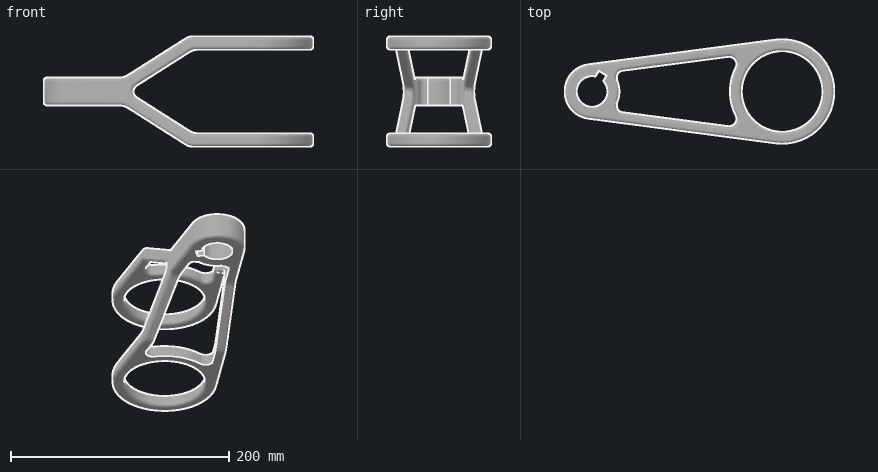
import cadquery as cq
import math

length = 247.5
height = 101.5
ring_radius = 48.0
hub_radius = 25.3
ring_x = length - hub_radius - ring_radius

hub_height = 26.0
arm_thickness = 12.6
arm_angle = math.radians(32.4)
shoulder_x = 48.8
bend_radius = 12.5
crotch_radius = 6.5

ring_bore = 73.8
hub_bore = 28.0
key_width = 8.2
key_reach = 19.3
key_angle = 60.0
strut_width = 10.1
window_start_x = 23.0
hub_corner_radius = 5.2
ring_corner_radius = 6.7

edge_round = 3.5
overshoot = 2.5
pick_margin = 0.2

flank_angle = math.asin((ring_radius - hub_radius) / ring_x)

top_z = height / 2
shoulder_z = hub_height / 2
arm_under_z = top_z - arm_thickness
arm_slope = math.tan(arm_angle)
bend_x = shoulder_x + (top_z - shoulder_z) / arm_slope
under_bend_x = bend_x + arm_thickness * math.tan(arm_angle / 2)
crotch_x = under_bend_x - arm_under_z / arm_slope


def disc(x, radius):
    """Full-height disc with its axis at x."""
    return cq.Workplane("XY").center(x, 0).circle(radius).extrude(height / 2, both=True)


def prism(upper_points):
    """Full-height prism on an outline mirrored about the X axis."""
    outline = upper_points + [(x, -y) for x, y in reversed(upper_points)]
    return cq.Workplane("XY").polyline(outline).close().extrude(height / 2, both=True)


def flank_point(x, radius):
    """Tangent point of the upper flank on a circle centred at x."""
    return (x - radius * math.sin(flank_angle), radius * math.cos(flank_angle))


def inset_flank_y(x, inset):
    """Y of a line parallel to the upper flank, moved inwards by inset."""
    return (hub_radius - inset) / math.cos(flank_angle) + x * math.tan(flank_angle)


def plan_body():
    flanks = prism([flank_point(0, hub_radius), flank_point(ring_x, ring_radius)])
    return flanks.union(disc(0, hub_radius)).union(disc(ring_x, ring_radius))


def window():
    """Opening between the struts, bounded by the hub and ring circles."""
    opening = prism([(x, inset_flank_y(x, strut_width)) for x in (window_start_x, ring_x)])
    opening = opening.cut(disc(0, hub_radius)).cut(disc(ring_x, ring_radius))
    corner_y = inset_flank_y(window_start_x, strut_width) - pick_margin
    middle_x = (window_start_x + ring_x) / 2
    corner_zones = ((0, middle_x, hub_corner_radius), (middle_x, ring_x, ring_corner_radius))
    for low_x, high_x, radius in corner_zones:
        for side in (1, -1):
            corner = cq.selectors.BoxSelector(
                (low_x, side * corner_y, -height), (high_x, side * ring_radius, height)
            )
            opening = opening.edges("|Z").edges(corner).fillet(radius)
    return opening


def fork_profile():
    """Y-shaped side profile with rounded bends, as a slab across the full width."""
    end_x = length
    upper = [
        (-length, shoulder_z),
        (shoulder_x, shoulder_z),
        (bend_x, top_z),
        (end_x, top_z),
        (end_x, arm_under_z),
        (under_bend_x, arm_under_z),
    ]
    outline = upper + [(crotch_x, 0)] + [(x, -z) for x, z in reversed(upper)]
    slab = cq.Workplane("XZ").polyline(outline).close().extrude(ring_radius + overshoot, both=True)
    bends = (
        (crotch_x, crotch_radius),
        (shoulder_x, bend_radius),
        (bend_x, bend_radius),
        (under_bend_x, bend_radius),
    )
    for x, radius in bends:
        bend_zone = cq.selectors.BoxSelector(
            (x - pick_margin, -length, -height), (x + pick_margin, length, height)
        )
        slab = slab.edges("|Y").edges(bend_zone).fillet(radius)
    return slab


def is_window_underside(edge):
    """True for the window edges on the underside of the hub and the lower arm."""
    center = edge.Center()
    if not 0 < center.x < ring_x - ring_bore / 2:
        return False
    sloping_z = shoulder_z + (center.x - shoulder_x) * arm_slope
    outer_z = min(max(shoulder_z, sloping_z), top_z)
    within_struts = abs(center.y) < inset_flank_y(center.x, strut_width / 2)
    return within_struts and center.z < arm_thickness / 2 - outer_z


def hub_opening():
    """Hub bore with its slanted keyway."""
    key = (
        cq.Workplane("XY")
        .center(key_reach / 2, 0)
        .rect(key_reach, key_width)
        .extrude(height / 2, both=True)
        .rotate((0, 0, 0), (0, 0, 1), key_angle)
    )
    return disc(0, hub_bore / 2).union(key)


fork = plan_body().cut(window()).cut(disc(ring_x, ring_bore / 2)).intersect(fork_profile())

rims = fork.edges("not |Z").filter(lambda edge: not is_window_underside(edge))
fork = rims.fillet(edge_round)

result = fork.cut(hub_opening())